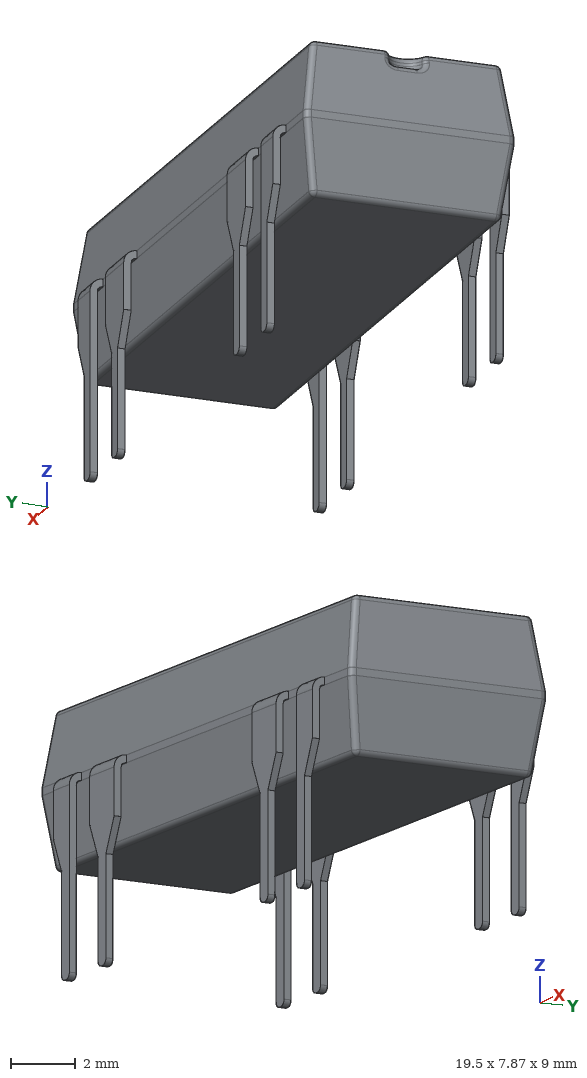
import cadquery as cq
import math

body_length = 19.5
body_width = 7.0
body_height = 5.1
band_height = 0.25
draft_angle = 8.0
edge_radius = 0.2

notch_radius = 0.6
notch_depth = 0.5
notch_inset = 0.2

span_over_pins = 7.87
sheet_thickness = 0.25
bend_outer_radius = 0.43
pin_embed = 0.5
inner_pin_x = 5.08
outer_pin_x = 7.37
inner_shoulder_width = 1.53
outer_shoulder_width = 1.0
leg_width = 0.5
shoulder_z = 0.7
neck_z = -0.4
pin_tip_z = -3.9
tip_radius = 0.2

middle_z = body_height / 2
half_leg = leg_width / 2
pin_top_z = middle_z + sheet_thickness / 2
pin_outer_y = span_over_pins / 2


def make_block():
    """Sharp-edged body: the parting band with a drafted half above and below it."""
    half_height = (body_height - band_height) / 2
    band = cq.Workplane("XY").box(body_length, body_width, band_height)
    band = band.translate((0, 0, middle_z))
    upper = (
        cq.Workplane("XY", origin=(0, 0, middle_z + band_height / 2))
        .rect(body_length, body_width)
        .extrude(half_height, taper=draft_angle)
    )
    lower = upper.mirror("XY", (0, 0, middle_z))
    return band.union(upper).union(lower)


def make_notch_cutter():
    """Upright cylinder that cuts the notch and reaches above the body."""
    notch_centre = (notch_inset - body_length / 2, 0, body_height - notch_depth)
    return cq.Workplane("XY", origin=notch_centre).circle(notch_radius).extrude(2 * notch_depth)


def borders_band(edge):
    """True for the horizontal edges where the drafted sides meet the parting band."""
    tolerance = 1e-4
    height_from_middle = abs(edge.Center().z - middle_z)
    return abs(height_from_middle - band_height / 2) < tolerance


def make_body():
    """Notched body with every edge rounded except those bordering the parting band."""
    body = make_block().cut(make_notch_cutter())
    return body.edges().filter(lambda edge: not borders_band(edge)).fillet(edge_radius)


def make_bent_strip(strip_width):
    """Strip of sheet, centred on X = 0, that leaves the -Y side of the body and bends down."""
    root_y = pin_embed - body_width / 2
    inner_face_y = sheet_thickness - pin_outer_y
    bend_inner_radius = bend_outer_radius - sheet_thickness
    bend_y = bend_outer_radius - pin_outer_y
    bend_z = pin_top_z - bend_outer_radius

    def bend_middle(radius):
        offset = radius * math.sqrt(0.5)
        return (bend_y - offset, bend_z + offset)

    return (
        cq.Workplane("YZ")
        .moveTo(root_y, pin_top_z)
        .lineTo(bend_y, pin_top_z)
        .threePointArc(bend_middle(bend_outer_radius), (-pin_outer_y, bend_z))
        .lineTo(-pin_outer_y, pin_tip_z)
        .lineTo(inner_face_y, pin_tip_z)
        .lineTo(inner_face_y, bend_z)
        .threePointArc(bend_middle(bend_inner_radius), (bend_y, pin_top_z - sheet_thickness))
        .lineTo(root_y, pin_top_z - sheet_thickness)
        .close()
        .extrude(strip_width / 2, both=True)
    )


def make_shoulder(reach):
    """Material left of the leg: full reach down to the shoulder, then tapering to the neck."""
    return (
        cq.Workplane("XZ")
        .moveTo(0, pin_top_z)
        .lineTo(-reach, pin_top_z)
        .lineTo(-reach, shoulder_z)
        .lineTo(-half_leg, neck_z)
        .lineTo(0, neck_z)
        .close()
        .extrude(span_over_pins)
    )


def make_leg():
    """Straight leg with rounded tip corners, as deep in Y as the shoulder blanks."""
    leg_height = pin_top_z - pin_tip_z
    leg = cq.Workplane("XY").box(leg_width, span_over_pins, leg_height, centered=(True, False, False))
    leg = leg.translate((0, -span_over_pins, pin_tip_z))
    return leg.faces("<Z").edges("|Y").fillet(tip_radius)


def make_pin(left_reach, right_reach):
    """Pin on the -Y side; each reach is the shoulder width measured from the leg's centre line."""
    blank = make_leg().union(make_shoulder(left_reach))
    if right_reach > half_leg:
        blank = blank.union(make_shoulder(right_reach).mirror("YZ"))
    strip = make_bent_strip(2 * max(left_reach, right_reach))
    return strip.intersect(blank)


inner_pin = make_pin(inner_shoulder_width / 2, inner_shoulder_width / 2)
outer_pin = make_pin(outer_shoulder_width - half_leg, half_leg)

result = make_body()
for pin, pin_x in ((inner_pin, inner_pin_x), (outer_pin, outer_pin_x)):
    left_pin = pin.translate((-pin_x, 0, 0))
    front_pair = left_pin.union(left_pin.mirror("YZ"))
    back_pair = front_pair.mirror("XZ")
    result = result.union(front_pair).union(back_pair)